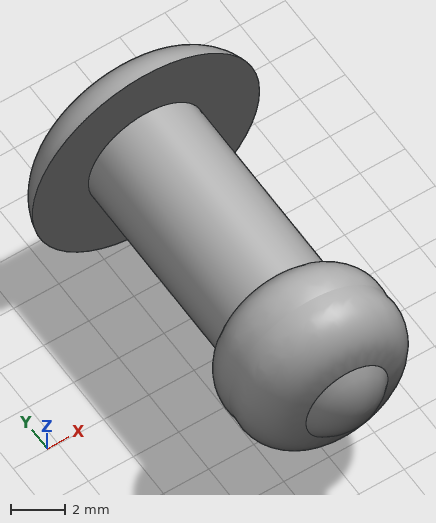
import cadquery as cq
import math

head_diameter = 10.06
head_radius = head_diameter / 2
shank_radius = 2.55
bulb_radius = 3.65
tip_radius = 1.81

overall_length = 16.05
head_height = 1.81
shank_length = 8.75
tip_height = 0.82

head_round = 2.28
bulb_round = 2.0

head_top = overall_length / 2
head_underside = head_top - head_height
shank_end = head_underside - shank_length
tip_end = -overall_length / 2
tip_base = tip_end + tip_height

head_arc_y = head_top - head_round
head_arc_x = head_radius - math.sqrt(head_round**2 - (head_underside - head_arc_y)**2)

bulb_arc_x = bulb_radius - bulb_round
lower_arc_y = tip_base + math.sqrt(bulb_round**2 - (tip_radius - bulb_arc_x)**2)
upper_arc_y = shank_end - math.sqrt(bulb_round**2 - (shank_radius - bulb_arc_x)**2)
seam = (upper_arc_y + lower_arc_y) / 2
seam_radius = bulb_arc_x + math.sqrt(bulb_round**2 - (seam - lower_arc_y)**2)

tip_sphere_radius = (tip_radius**2 + tip_height**2) / (2 * tip_height)
tip_sphere_y = tip_end + tip_sphere_radius


def arc_point(center_x, center_y, radius, angle):
    """Point on a profile arc at an angle in degrees from the radial direction."""
    turn = math.radians(angle)
    return (center_x + radius * math.cos(turn), center_y + radius * math.sin(turn))


head_mid_angle = 45
tip_mid_angle = -90 + math.degrees(math.asin(tip_radius / tip_sphere_radius)) / 2

profile = (
    cq.Workplane("XY")
    .moveTo(0, head_top)
    .lineTo(head_arc_x, head_top)
    .threePointArc(arc_point(head_arc_x, head_arc_y, head_round, head_mid_angle), (head_radius, head_underside))
    .lineTo(shank_radius, head_underside)
    .lineTo(shank_radius, shank_end)
    .threePointArc((bulb_radius, upper_arc_y), (seam_radius, seam))
    .threePointArc((bulb_radius, lower_arc_y), (tip_radius, tip_base))
    .threePointArc(arc_point(0, tip_sphere_y, tip_sphere_radius, tip_mid_angle), (0, tip_end))
    .close()
)

result = profile.revolve(360, (0, 0, 0), (0, 1, 0))